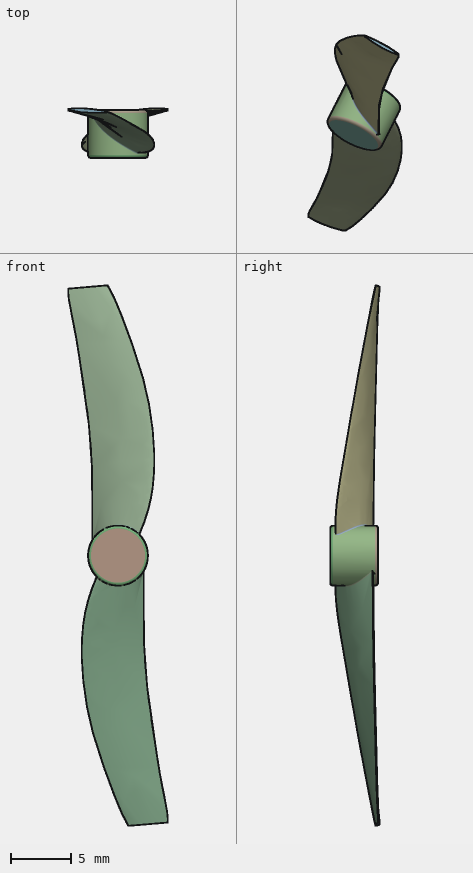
import cadquery as cq
import math

HUB_DIAMETER = 5.0
HUB_DEPTH = 4.0
HUB_EDGE_RADIUS = 0.25

BLADE_STATIONS = [
    (1.00, -2.12, -0.45, 1.45, -3.40, 1.20),
    (3.25, -2.12, -0.42, 2.35, -3.52, 1.12),
    (5.70, -2.12, -0.40, 2.90, -3.25, 0.98),
    (8.10, -2.18, -0.37, 3.03, -2.86, 0.80),
    (11.40, -2.47, -0.30, 2.78, -2.30, 0.63),
    (14.60, -2.90, -0.22, 2.13, -1.75, 0.50),
    (18.70, -3.58, -0.12, 0.78, -0.97, 0.38),
]

TIP_TRAILING = (-4.145, 0.045, 22.20)
TIP_LEADING = (-0.86, -0.18, 22.48)
TIP_THICKNESS = 0.30

CAMBER_PER_THICKNESS = 0.05
TRAILING_EDGE_GAP = 0.1
POINTS_PER_SIDE = 8

ROOT_FILLET = 0.1
ON_HUB_TOLERANCE = 0.01


def half_thickness(s):
    """Half thickness of a unit-thick airfoil, at fraction s of the chord from its round nose."""
    return math.sqrt(s / 2) * (1 - s) * (1 + 2 * s)


def section(trailing, leading, thickness):
    """Closed airfoil wire, cambered to the rear, with a blunt trailing edge."""
    nose = cq.Vector(*leading)
    chord = cq.Vector(*trailing) - nose
    rearward = cq.Vector(chord.y, -chord.x, 0).normalized()

    front = []
    rear = []
    for i in range(POINTS_PER_SIDE + 1):
        s = 1 - math.cos(math.pi / 2 * i / POINTS_PER_SIDE)
        camber = CAMBER_PER_THICKNESS * thickness * 4 * s * (1 - s)
        offset = thickness * half_thickness(s) + TRAILING_EDGE_GAP / 2 * s
        middle = nose + chord * s + rearward * camber
        front.append(middle - rearward * offset)
        rear.append(middle + rearward * offset)

    return cq.Wire.assembleEdges([
        cq.Edge.makeSpline(front[::-1]),
        cq.Edge.makeSpline(rear),
        cq.Edge.makeLine(rear[-1], front[-1]),
    ])


def make_hub():
    return (
        cq.Workplane("XZ")
        .circle(HUB_DIAMETER / 2)
        .extrude(HUB_DEPTH)
        .edges("%CIRCLE")
        .fillet(HUB_EDGE_RADIUS)
    )


def make_blade():
    """Upper blade, lofted through its sections from the root to the tip."""
    sections = []
    for z, trailing_x, trailing_y, leading_x, leading_y, thickness in BLADE_STATIONS:
        sections.append(section((trailing_x, trailing_y, z), (leading_x, leading_y, z), thickness))
    sections.append(section(TIP_TRAILING, TIP_LEADING, TIP_THICKNESS))
    return cq.Workplane(cq.Solid.makeLoft(sections))


def fillet_roots(propeller):
    """Round the long joints between blades and hub, leaving the short blunt trailing edges sharp."""
    joints = []
    for edge in propeller.edges("%BSPLINE").vals():
        middle = edge.positionAt(0.5)
        distance = abs(math.hypot(middle.x, middle.z) - HUB_DIAMETER / 2)
        if distance < ON_HUB_TOLERANCE and edge.Length() > HUB_DIAMETER / 2:
            joints.append(edge)
    return propeller.newObject(joints).fillet(ROOT_FILLET).solids()


blade = make_blade()
opposite_blade = blade.rotate((0, 0, 0), (0, 1, 0), 180)
result = fillet_roots(make_hub().union(blade).union(opposite_blade))